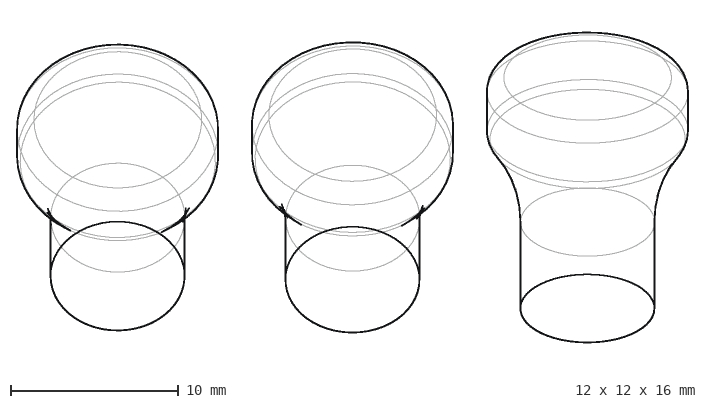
import cadquery as cq
import math

total_height = 16.0
head_diameter = 12.0
top_face_diameter = 10.0
stem_diameter = 8.0
stem_height = 6.0
flare_radius = 10.0

head_radius = head_diameter / 2
stem_radius = stem_diameter / 2
top_face_radius = top_face_diameter / 2
edge_radius = head_radius - top_face_radius

flare_center = (stem_radius + flare_radius, stem_height)
center_gap = flare_radius + edge_radius
gap_across = flare_center[0] - top_face_radius
gap_up = math.sqrt(center_gap**2 - gap_across**2)
lower_edge_center = (top_face_radius, stem_height + gap_up)
upper_edge_center = (top_face_radius, total_height - edge_radius)
join_angle = math.atan2(gap_up, gap_across)


def arc_point(center, radius, angle):
    """Point on a circle in the radius-height plane."""
    return (center[0] + radius * math.cos(angle), center[1] + radius * math.sin(angle))


flare_middle = arc_point(flare_center, flare_radius, math.pi - join_angle / 2)
flare_end = arc_point(flare_center, flare_radius, math.pi - join_angle)
lower_edge_middle = arc_point(lower_edge_center, edge_radius, -join_angle / 2)
upper_edge_middle = arc_point(upper_edge_center, edge_radius, math.pi / 4)

profile = (
    cq.Workplane("XZ")
    .lineTo(stem_radius, 0)
    .lineTo(stem_radius, stem_height)
    .threePointArc(flare_middle, flare_end)
    .threePointArc(lower_edge_middle, (head_radius, lower_edge_center[1]))
    .lineTo(head_radius, upper_edge_center[1])
    .threePointArc(upper_edge_middle, (top_face_radius, total_height))
    .lineTo(0, total_height)
    .close()
)

result = profile.revolve(360, (0, 0, 0), (0, 1, 0))